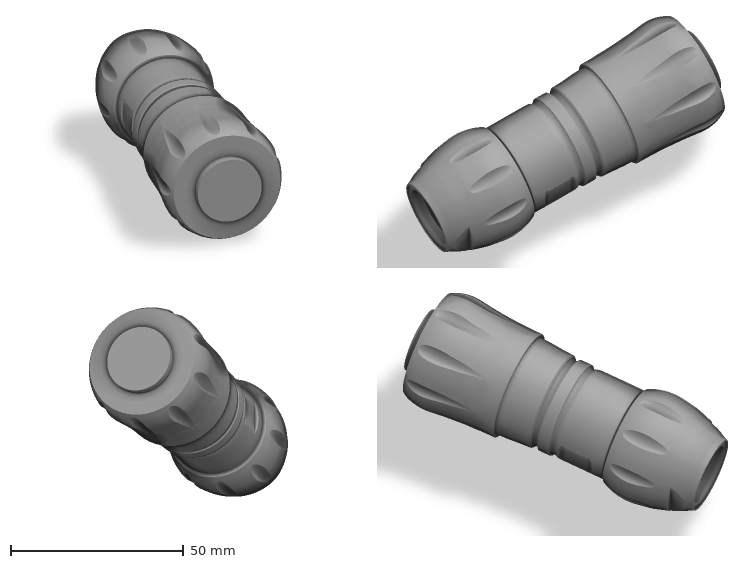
import cadquery as cq
import math

TOTAL_LENGTH = 94.9
EDGE_CHAMFER = 0.2

NUT_RIM_RADIUS = 11.3
NUT_LIP_X = 0.7
NUT_LIP_RADIUS = 11.6
NUT_MOUTH_X = 1.5
NUT_MOUTH_RADIUS = 12.0
NUT_DOME_X = 7.3
NUT_DOME_RADIUS = 14.6
NUT_SHOULDER_X = 13.1
NUT_SHOULDER_RADIUS = 32.4 / 2
NUT_BULGE_X = 16.3
NUT_BULGE_RADIUS = 16.7
NUT_TAIL_X = 23.3
NUT_TAIL_RADIUS = 16.5
NUT_END_X = 27.5
NUT_END_RADIUS = 15.1

RECESS_RADIUS = 21.8 / 2
RECESS_DEPTH = 0.2
BORE_RADIUS = 17.5 / 2
BORE_LIP_RADIUS = 19.4 / 2
BORE_DEPTH = 3.6

NUT_FLAT_OFFSET = 12.05
NUT_FLAT_LENGTH = 6.8

NECK_RADIUS = 25.7 / 2
COLLAR_X = 28.2
COLLAR_RADIUS = 28.4 / 2
COLLAR_ROUND_X = 41.5
COLLAR_END_X = 43.2
COLLAR_END_RADIUS = 28.1 / 2

PAD_OFFSET = 13.5
PAD_HEIGHT = 0.2
PAD_X = 33.3
PAD_END_X = 40.7
RUNOUT_FOOT_LENGTH = 0.6
RUNOUT_LENGTH = 1.7

WAIST_EDGE_RADIUS = 28.0 / 2
WAIST_FLOOR_RADIUS = 27.3 / 2
RIB_X = 45.3
RIB_END_X = 49.2
RIB_RADIUS = 29.0 / 2

SLEEVE_X = 51.15
SLEEVE_RADIUS = 14.8
SLEEVE_CHAMFER = 0.5
SLEEVE_BEND_X = 58.7
SLEEVE_BEND_RADIUS = 15.3
SLEEVE_END_RADIUS = 30.8 / 2

RING_X = 62.4
RING_RADIUS = 16.5
RING_BEND_X = 72.3
RING_BEND_RADIUS = 33.5 / 2
RING_FLARE_X = 79.2
RING_FLARE_RADIUS = 34.6 / 2
RING_BULGE_X = 83.2
RING_BULGE_RADIUS = 17.8
RING_PEAK_X = 85.2
RING_PEAK_RADIUS = 36.0 / 2
RING_END_X = 92.1
RING_END_RADIUS = 16.1
SPIGOT_RADIUS = 19.4 / 2

GROOVE_COUNT = 9
GROOVE_RADIUS = 5.3 / 2
NUT_GROOVE_X = 9.5
NUT_GROOVE_FLOOR = 31.6 / 2
NUT_GROOVE_START_ANGLE = 10.0
RING_GROOVE_FLOOR = 33.3 / 2
RING_GROOVE_START_ANGLE = 0.0


def make_body():
    """Revolve the full outer profile about the X axis."""
    first_waist_middle = ((COLLAR_END_X + RIB_X) / 2, WAIST_FLOOR_RADIUS)
    second_waist_middle = ((RIB_END_X + SLEEVE_X) / 2, WAIST_FLOOR_RADIUS)
    profile = (
        cq.Workplane("XY")
        .lineTo(0, NUT_RIM_RADIUS)
        .threePointArc((NUT_LIP_X, NUT_LIP_RADIUS), (NUT_MOUTH_X, NUT_MOUTH_RADIUS))
        .threePointArc((NUT_DOME_X, NUT_DOME_RADIUS), (NUT_SHOULDER_X, NUT_SHOULDER_RADIUS))
        .lineTo(NUT_BULGE_X, NUT_BULGE_RADIUS)
        .threePointArc((NUT_TAIL_X, NUT_TAIL_RADIUS), (NUT_END_X - EDGE_CHAMFER, NUT_END_RADIUS))
        .lineTo(NUT_END_X, NUT_END_RADIUS - EDGE_CHAMFER)
        .lineTo(NUT_END_X, NECK_RADIUS)
        .lineTo(COLLAR_X, NECK_RADIUS)
        .lineTo(COLLAR_X, COLLAR_RADIUS - EDGE_CHAMFER)
        .lineTo(COLLAR_X + EDGE_CHAMFER, COLLAR_RADIUS)
        .lineTo(COLLAR_ROUND_X, COLLAR_RADIUS)
        .tangentArcPoint((COLLAR_END_X, COLLAR_END_RADIUS), relative=False)
        .lineTo(COLLAR_END_X, WAIST_EDGE_RADIUS)
        .threePointArc(first_waist_middle, (RIB_X, WAIST_EDGE_RADIUS))
        .lineTo(RIB_X, RIB_RADIUS - EDGE_CHAMFER)
        .lineTo(RIB_X + EDGE_CHAMFER, RIB_RADIUS)
        .lineTo(RIB_END_X - EDGE_CHAMFER, RIB_RADIUS)
        .lineTo(RIB_END_X, RIB_RADIUS - EDGE_CHAMFER)
        .lineTo(RIB_END_X, WAIST_EDGE_RADIUS)
        .threePointArc(second_waist_middle, (SLEEVE_X, WAIST_EDGE_RADIUS))
        .lineTo(SLEEVE_X, SLEEVE_RADIUS - SLEEVE_CHAMFER)
        .lineTo(SLEEVE_X + SLEEVE_CHAMFER, SLEEVE_RADIUS)
        .lineTo(SLEEVE_BEND_X, SLEEVE_BEND_RADIUS)
        .lineTo(RING_X, SLEEVE_END_RADIUS)
        .lineTo(RING_X, RING_RADIUS - EDGE_CHAMFER)
        .lineTo(RING_X + EDGE_CHAMFER, RING_RADIUS)
        .lineTo(RING_BEND_X, RING_BEND_RADIUS)
        .lineTo(RING_FLARE_X, RING_FLARE_RADIUS)
        .lineTo(RING_BULGE_X, RING_BULGE_RADIUS)
        .threePointArc((RING_PEAK_X, RING_PEAK_RADIUS), (RING_END_X, RING_END_RADIUS))
        .lineTo(RING_END_X, SPIGOT_RADIUS)
        .lineTo(TOTAL_LENGTH, SPIGOT_RADIUS)
        .lineTo(TOTAL_LENGTH, 0)
        .close()
    )
    return profile.revolve(360, (0, 0, 0), (1, 0, 0))


def make_cable_entry():
    """Shallow recess followed by a blind bore with a quarter-round lip."""
    lip_radius = BORE_LIP_RADIUS - BORE_RADIUS
    lip_end_x = RECESS_DEPTH + lip_radius
    lip_reach = lip_radius * math.sqrt(0.5)
    lip_middle = (lip_end_x - lip_reach, BORE_LIP_RADIUS - lip_reach)
    profile = (
        cq.Workplane("XY")
        .lineTo(0, RECESS_RADIUS)
        .lineTo(RECESS_DEPTH, RECESS_RADIUS)
        .lineTo(RECESS_DEPTH, BORE_LIP_RADIUS)
        .threePointArc(lip_middle, (lip_end_x, BORE_RADIUS))
        .lineTo(BORE_DEPTH, BORE_RADIUS)
        .lineTo(BORE_DEPTH, 0)
        .close()
    )
    return profile.revolve(360, (0, 0, 0), (1, 0, 0))


def make_grooves(start_x, end_x, floor_radius, start_angle):
    """Ring of round channels whose floors all lie at floor_radius from the axis."""
    return (
        cq.Workplane("YZ", origin=(start_x, 0, 0))
        .polarArray(floor_radius + GROOVE_RADIUS, 180 + start_angle, 360, GROOVE_COUNT)
        .circle(GROOVE_RADIUS)
        .extrude(end_x - start_x)
    )


def make_nut_flat():
    """Block that leaves a wrench flat on the +Y side of the nut."""
    block_size = 2 * RING_PEAK_RADIUS
    return (
        cq.Workplane("XY", origin=(0, NUT_FLAT_OFFSET, 0))
        .box(NUT_FLAT_LENGTH, block_size, block_size, centered=(False, False, True))
    )


def make_collar_flat():
    """Cutter for the recessed flat on the +Y side of the collar, symmetric about its middle."""
    middle_x = (PAD_X + PAD_END_X) / 2
    foot_y = PAD_OFFSET - PAD_HEIGHT
    near_half = (
        cq.Workplane("XY")
        .moveTo(middle_x, PAD_OFFSET)
        .lineTo(PAD_X, PAD_OFFSET)
        .lineTo(PAD_X, foot_y)
        .lineTo(PAD_X - RUNOUT_FOOT_LENGTH, foot_y)
        .tangentArcPoint((PAD_X - RUNOUT_LENGTH, COLLAR_RADIUS), relative=False)
        .lineTo(middle_x, COLLAR_RADIUS)
        .close()
        .extrude(COLLAR_RADIUS, both=True)
    )
    return near_half.union(near_half.mirror("YZ", (middle_x, 0, 0)))


result = make_body().cut(make_cable_entry())

for flat in (make_nut_flat(), make_collar_flat()):
    result = result.cut(flat).cut(flat.mirror("XZ"))

result = result.cut(make_grooves(NUT_GROOVE_X, NUT_END_X, NUT_GROOVE_FLOOR, NUT_GROOVE_START_ANGLE))
result = result.cut(make_grooves(RING_X, RING_END_X, RING_GROOVE_FLOOR, RING_GROOVE_START_ANGLE))